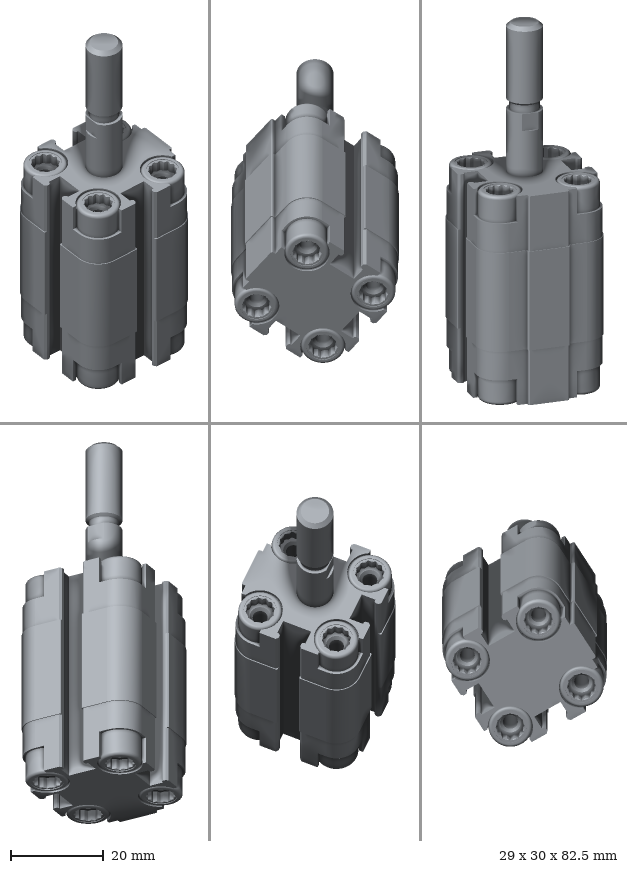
import cadquery as cq
import math

total_height = 82.5
housing_height = 48.2

barrel_half_width = 14.5
cap_inset = 0.21
cap_height = 12.7
tie_bolt_offset = 9.0
tongue_half_width = 4.9
tongue_height = 1.0
tongue_chamfer = 0.25

slot_floor = 9.6
slot_half_width = 3.3
lip_half_gap = 2.55
lip_inner_face = 12.8
lip_inner_chamfer = 0.3
barrel_lip_chamfer = 0.2
cap_lip_chamfer = 0.5

boss_diameter = 9.5
boss_height = 6.0
boss_fillet = 0.75
rim_diameter = 9.8
boss_pocket_edge = 6.85

socket_recess_diameter = 7.1
socket_recess_depth = 0.2
socket_mouth_diameter = 6.1
socket_outer_diameter = 6.4
socket_inner_diameter = 5.7
socket_depth = 2.6
socket_point_count = 12
bolt_hole_diameter = 3.2
countersink_diameter = 4.45

rod_diameter = 8.0
rod_tip_diameter = 6.1
rod_tip_chamfer_height = 0.8
stud_bottom = 65.0
neck_diameter = 6.6
neck_chamfer_height = 0.6
shoulder_height = 62.6
flat_bottom = 58.7
flat_spacing = 7.0

cap_half_width = barrel_half_width - cap_inset
barrel_height = housing_height - 2 * cap_height
bolt_positions = [
    (x_side * tie_bolt_offset, y_side * tie_bolt_offset)
    for x_side in (-1, 1)
    for y_side in (-1, 1)
]


def profile_prism(half_width, tongue_half, bottom, height):
    """Rounded square with a raised tongue along its +Y side."""
    corner_radius = half_width - tie_bolt_offset
    square = (
        cq.Workplane("XY", origin=(0, 0, bottom))
        .rect(2 * half_width, 2 * half_width)
        .extrude(height)
        .edges("|Z")
        .fillet(corner_radius)
    )
    tongue_top = half_width + tongue_height
    tongue = (
        cq.Workplane("XY", origin=(0, 0, bottom))
        .moveTo(-tongue_half, 0)
        .lineTo(-tongue_half, tongue_top - tongue_chamfer)
        .lineTo(-tongue_half + tongue_chamfer, tongue_top)
        .lineTo(tongue_half - tongue_chamfer, tongue_top)
        .lineTo(tongue_half, tongue_top - tongue_chamfer)
        .lineTo(tongue_half, 0)
        .close()
        .extrude(height)
    )
    return square.union(tongue)


def slot_cutter(half_width, lip_chamfer, bottom, height):
    """T-slot opening toward -Y, with both edges of its lips chamfered."""
    one_side = [
        (slot_half_width, -slot_floor),
        (slot_half_width, -lip_inner_face),
        (lip_half_gap + lip_inner_chamfer, -lip_inner_face),
        (lip_half_gap, -lip_inner_face - lip_inner_chamfer),
        (lip_half_gap, -half_width + lip_chamfer),
        (lip_half_gap + lip_chamfer, -half_width),
    ]
    other_side = [(-x, y) for x, y in reversed(one_side)]
    return (
        cq.Workplane("XY", origin=(0, 0, bottom))
        .polyline(one_side + other_side)
        .close()
        .extrude(height)
    )


def slotted_section(half_width, tongue_half, lip_chamfer, bottom, height):
    """One length of the housing with its three T-slots."""
    section = profile_prism(half_width, tongue_half, bottom, height)
    slot = slot_cutter(half_width, lip_chamfer, bottom, height)
    for angle in (-90, 0, 90):
        section = section.cut(slot.rotate((0, 0, 0), (0, 0, 1), angle))
    return section


def boss_surround():
    """Material removed around one upper boss, centred on the bolt axis at Z = 0."""
    boss = (
        cq.Workplane("XY", origin=(0, 0, -boss_height))
        .circle(boss_diameter / 2)
        .extrude(boss_height)
        .faces(">Z")
        .edges()
        .fillet(boss_fillet)
    )
    notch_inner = boss_pocket_edge - tie_bolt_offset
    notch_size = barrel_half_width - boss_pocket_edge
    notch = cq.Workplane("XY", origin=(0, 0, -boss_height)).box(
        notch_size, notch_size, boss_height, centered=False
    )
    notch = notch.translate((notch_inner, notch_inner, 0))
    rim = (
        cq.Workplane("XY", origin=(0, 0, -boss_fillet))
        .circle(rim_diameter / 2)
        .extrude(boss_fillet)
    )
    return notch.union(rim).cut(boss)


def cone_cutter(top_diameter, bottom_diameter, top):
    """45 degree cone that narrows downward from Z = top."""
    depth = (top_diameter - bottom_diameter) / 2
    base = cq.Vector(0, 0, top - depth)
    return cq.Workplane(cq.Solid.makeCone(bottom_diameter / 2, top_diameter / 2, depth, base))


def bolt_socket():
    """
    Star-shaped socket with a shallow recess and a chamfered mouth,
    centred on the bolt axis at Z = 0.
    """
    star = []
    for i in range(2 * socket_point_count):
        diameter = socket_inner_diameter if i % 2 else socket_outer_diameter
        angle = math.pi * i / socket_point_count
        star.append((diameter / 2 * math.cos(angle), diameter / 2 * math.sin(angle)))
    socket = (
        cq.Workplane("XY", origin=(0, 0, -socket_depth))
        .polyline(star)
        .close()
        .extrude(socket_depth)
    )
    recess = (
        cq.Workplane("XY", origin=(0, 0, -socket_recess_depth))
        .circle(socket_recess_diameter / 2)
        .extrude(socket_recess_depth)
    )
    mouth = cone_cutter(socket_mouth_diameter, socket_inner_diameter, -socket_recess_depth)
    countersink = cone_cutter(countersink_diameter, bolt_hole_diameter, -socket_depth)
    return socket.union(recess).union(mouth).union(countersink)


def corner_cutters():
    """Boss surrounds and sockets for the four corners of the upper end."""
    cutters = []
    surround = boss_surround()
    socket = bolt_socket()
    for x, y in bolt_positions:
        turn = math.degrees(math.atan2(y, x)) - 45
        turned = surround.rotate((0, 0, 0), (0, 0, 1), turn)
        cutters.append(turned.translate((x, y, housing_height)))
        cutters.append(socket.translate((x, y, housing_height)))
    return cutters


def make_housing():
    cap_tongue_half = tongue_half_width - cap_inset
    housing = slotted_section(
        barrel_half_width, tongue_half_width, barrel_lip_chamfer, cap_height, barrel_height
    )
    for cap_bottom in (0, housing_height - cap_height):
        cap = slotted_section(
            cap_half_width, cap_tongue_half, cap_lip_chamfer, cap_bottom, cap_height
        )
        housing = housing.union(cap)

    middle = (0, 0, housing_height / 2)
    for cutter in corner_cutters():
        housing = housing.cut(cutter).cut(cutter.mirror("XY", middle))

    bolt_holes = (
        cq.Workplane("XY")
        .pushPoints(bolt_positions)
        .circle(bolt_hole_diameter / 2)
        .extrude(housing_height)
    )
    return housing.cut(bolt_holes)


def make_rod():
    rod_radius = rod_diameter / 2
    neck_radius = neck_diameter / 2
    rod = (
        cq.Workplane("XZ")
        .moveTo(0, housing_height)
        .lineTo(rod_radius, housing_height)
        .lineTo(rod_radius, shoulder_height)
        .lineTo(neck_radius, shoulder_height)
        .lineTo(neck_radius, stud_bottom - neck_chamfer_height)
        .lineTo(rod_radius, stud_bottom)
        .lineTo(rod_radius, total_height - rod_tip_chamfer_height)
        .lineTo(rod_tip_diameter / 2, total_height)
        .lineTo(0, total_height)
        .close()
        .revolve(360, (0, 0), (0, 1))
    )

    flat_height = shoulder_height - flat_bottom
    outside_flats = (
        cq.Workplane("XY", origin=(0, 0, flat_bottom))
        .rect(2 * rod_diameter, 2 * rod_diameter)
        .rect(2 * rod_diameter, flat_spacing)
        .extrude(flat_height)
    )
    return rod.cut(outside_flats)


housing = make_housing()
piston_rod = make_rod()

result = cq.Compound.makeCompound([housing.val(), piston_rod.val()])